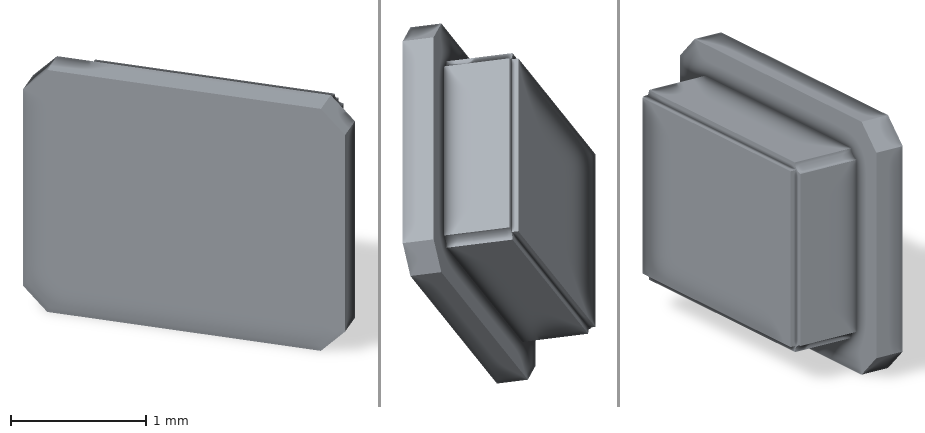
import cadquery as cq

plate_width = 2.5
plate_height = 2.0
plate_thickness = 0.24
corner_chamfer = 0.188

terminal_inner_x = 0.45
terminal_inner_z = 0.3
hook_tip_x = 0.728
hook_tip_z = 0.475
hook_root_x = 0.685
hook_root_z = 0.432
hook_depth = 0.095

insert_width = 1.435
insert_height = 1.132
insert_radius = 0.255
web_width = 0.03

package_width = 2.0
package_height = 1.5
notch_radius = 0.07
base_thickness = 0.205
cover_thickness = 0.305
lid_width = 1.89
lid_height = 1.39
lid_thickness = 0.05

base_start = plate_thickness
cover_start = base_start + base_thickness
lid_start = cover_start + cover_thickness


def plane_at(y):
    """XZ plane at depth y; a negative extrusion goes toward +Y."""
    return cq.Workplane("XZ", origin=(0, y, 0))


def block(width, height, thickness, y):
    """Rectangular block centred on the Y axis, from y toward +Y."""
    return plane_at(y).rect(width, height).extrude(-thickness)


def rounded_block(width, height, radius, thickness, y):
    """Block with its four long edges rounded."""
    return block(width, height, thickness, y).edges("|Y").fillet(radius)


def notched_block(thickness, y):
    """Package layer with a concave round notch along each corner."""
    notches = plane_at(y).rect(package_width, package_height, forConstruction=True).vertices()
    return block(package_width, package_height, thickness, y).cut(
        notches.circle(notch_radius).extrude(-thickness)
    )


def make_plate():
    """Chamfered plate outline that the terminals, frame and insert fill together."""
    return block(plate_width, plate_height, plate_thickness, 0).edges("|Y").chamfer(corner_chamfer)


def make_terminal(side_x, side_z):
    """Terminal in one plate corner, hooked into the frame and hollowed around the insert."""
    edge_x = plate_width / 2
    edge_z = plate_height / 2
    points = [
        (terminal_inner_x, terminal_inner_z),
        (edge_x - hook_depth, terminal_inner_z),
        (edge_x - hook_depth, hook_tip_z),
        (edge_x, hook_root_z),
        (edge_x, edge_z),
        (hook_root_x, edge_z),
        (hook_tip_x, edge_z - hook_depth),
        (terminal_inner_x, edge_z - hook_depth),
    ]
    outline = [(side_x * x, side_z * z) for x, z in points]
    corner = plane_at(0).polyline(outline).close().extrude(-plate_thickness)
    clearance = rounded_block(
        insert_width + 2 * web_width,
        insert_height + 2 * web_width,
        insert_radius + web_width,
        plate_thickness,
        0,
    )
    return corner.intersect(make_plate()).cut(clearance)


def make_frame(terminals, insert):
    """Rest of the plate, with matching recesses for the terminals and the insert."""
    frame = make_plate().cut(insert)
    for terminal in terminals:
        frame = frame.cut(terminal)
    return frame


def make_package():
    """Base and cover layers and a lid as one solid, with the seam between the layers kept."""
    base = notched_block(base_thickness, base_start)
    cover = notched_block(cover_thickness, cover_start)
    lid = block(lid_width, lid_height, lid_thickness, lid_start)
    return base.union(cover, clean=False).union(lid, clean=False)


insert = rounded_block(insert_width, insert_height, insert_radius, plate_thickness, 0)
terminals = [make_terminal(side_x, side_z) for side_x in (-1, 1) for side_z in (-1, 1)]
frame = make_frame(terminals, insert)
package = make_package()

result = cq.Compound.makeCompound(
    [frame.val(), insert.val(), package.val(), *[terminal.val() for terminal in terminals]]
)